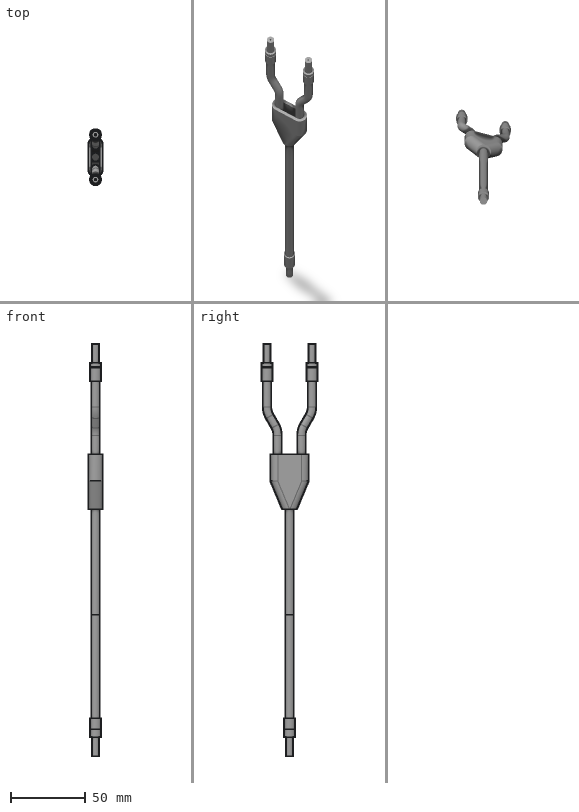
import cadquery as cq
import math

LOWER_COLLAR_BOTTOM = 13.0
LOWER_COLLAR_SPLIT = 18.5
LOWER_COLLAR_TOP = 26.0
CABLE_JOINT = 95.5
SPLITTER_BOTTOM = 166.9
TAPER_TOP = 186.0
SPLITTER_TOP = 204.2
BEND_BOTTOM = 217.0
UPPER_COLLAR_BOTTOM = 253.2
GROOVE_BOTTOM = 262.5
UPPER_COLLAR_TOP = 265.7
OVERALL_HEIGHT = 278.5

CABLE_DIAMETER = 5.8
COLLAR_DIAMETER = 7.5
PIN_DIAMETER = 5.0
PIN_BORE_DIAMETER = 1.0
PIN_BORE_DEPTH = 5.5
GROOVE_WIDTH = 0.8
GROOVE_DEPTH = 0.3

SPLITTER_THICKNESS = 10.0
SPLITTER_FLAT = 16.2
TAPER_END_FLAT = 0.05
CAVITY_FLOOR = 172.5

OVERALL_WIDTH = 38.0
BRANCH_Y = SPLITTER_FLAT / 2
TIP_Y = (OVERALL_WIDTH - COLLAR_DIAMETER) / 2
BEND_RADIUS = 12.5
BEND_ANGLE = math.radians(30)


def cylinder(diameter, bottom, top):
    """Upright cylinder on the Z axis between two heights."""
    return cq.Workplane("XY").workplane(offset=bottom).circle(diameter / 2).extrude(top - bottom)


def stadium(plane, flat, thickness):
    """Stadium outline, long along Y, with full half-round ends."""
    half_flat = flat / 2
    radius = thickness / 2
    return (
        plane.moveTo(radius, -half_flat)
        .lineTo(radius, half_flat)
        .threePointArc((0, half_flat + radius), (-radius, half_flat))
        .lineTo(-radius, -half_flat)
        .threePointArc((0, -half_flat - radius), (radius, -half_flat))
        .close()
    )


def make_splitter_block():
    """Solid splitter: a straight stadium on a taper that narrows to a near-circle."""
    straight = stadium(cq.Workplane("XY").workplane(offset=TAPER_TOP), SPLITTER_FLAT, SPLITTER_THICKNESS)
    straight = straight.extrude(SPLITTER_TOP - TAPER_TOP)
    taper = stadium(cq.Workplane("XY").workplane(offset=SPLITTER_BOTTOM), TAPER_END_FLAT, SPLITTER_THICKNESS)
    taper = taper.workplane(offset=TAPER_TOP - SPLITTER_BOTTOM)
    taper = stadium(taper, SPLITTER_FLAT, SPLITTER_THICKNESS).loft(ruled=True)
    return straight.union(taper)


def make_splitter():
    """Open-topped splitter: a wedge-shaped cavity between the bores for the three cables."""
    floor_half_width = CABLE_DIAMETER / 2
    wedge = (
        cq.Workplane("YZ")
        .moveTo(-floor_half_width, CAVITY_FLOOR)
        .lineTo(floor_half_width, CAVITY_FLOOR)
        .lineTo(BRANCH_Y, SPLITTER_TOP)
        .lineTo(-BRANCH_Y, SPLITTER_TOP)
        .close()
        .extrude(CABLE_DIAMETER / 2, both=True)
    )
    splitter = make_splitter_block().cut(wedge)
    splitter = splitter.cut(cylinder(CABLE_DIAMETER, SPLITTER_BOTTOM, CAVITY_FLOOR))
    branch_bore = cylinder(CABLE_DIAMETER, TAPER_TOP, SPLITTER_TOP)
    for side in (1, -1):
        splitter = splitter.cut(branch_bore.translate((0, side * BRANCH_Y, 0)))
    return splitter


def make_branch_cable(side):
    """Cable swept from inside the splitter to an upper connector; side is +1 or -1 in Y."""
    arc_rise = BEND_RADIUS * math.sin(BEND_ANGLE)
    arc_shift = BEND_RADIUS * (1 - math.cos(BEND_ANGLE))
    mid_rise = BEND_RADIUS * math.sin(BEND_ANGLE / 2)
    mid_shift = BEND_RADIUS * (1 - math.cos(BEND_ANGLE / 2))
    slant_shift = TIP_Y - BRANCH_Y - 2 * arc_shift
    bend_top = BEND_BOTTOM + 2 * arc_rise + slant_shift / math.tan(BEND_ANGLE)

    path = (
        cq.Workplane("YZ")
        .moveTo(side * BRANCH_Y, TAPER_TOP)
        .lineTo(side * BRANCH_Y, BEND_BOTTOM)
        .threePointArc(
            (side * (BRANCH_Y + mid_shift), BEND_BOTTOM + mid_rise),
            (side * (BRANCH_Y + arc_shift), BEND_BOTTOM + arc_rise),
        )
        .lineTo(side * (TIP_Y - arc_shift), bend_top - arc_rise)
        .threePointArc(
            (side * (TIP_Y - mid_shift), bend_top - mid_rise),
            (side * TIP_Y, bend_top),
        )
        .lineTo(side * TIP_Y, UPPER_COLLAR_BOTTOM)
    )
    section = cq.Workplane("XY", origin=(0, side * BRANCH_Y, TAPER_TOP)).circle(CABLE_DIAMETER / 2)
    return section.sweep(path)


def make_upper_connector(side):
    """Grooved collar carrying a contact pin with a bored tip."""
    collar = cylinder(COLLAR_DIAMETER, UPPER_COLLAR_BOTTOM, UPPER_COLLAR_TOP)
    groove_top = GROOVE_BOTTOM + GROOVE_WIDTH
    groove = cylinder(COLLAR_DIAMETER, GROOVE_BOTTOM, groove_top)
    groove = groove.cut(cylinder(COLLAR_DIAMETER - 2 * GROOVE_DEPTH, GROOVE_BOTTOM, groove_top))
    pin = cylinder(PIN_DIAMETER, UPPER_COLLAR_TOP, OVERALL_HEIGHT)
    bore = cylinder(PIN_BORE_DIAMETER, OVERALL_HEIGHT - PIN_BORE_DEPTH, OVERALL_HEIGHT)
    return collar.cut(groove).union(pin).cut(bore).translate((0, side * TIP_Y, 0))


def make_lower_plug():
    """Front half of the lower collar in one piece with its contact pin."""
    pin = cylinder(PIN_DIAMETER, 0, LOWER_COLLAR_BOTTOM)
    return pin.union(cylinder(COLLAR_DIAMETER, LOWER_COLLAR_BOTTOM, LOWER_COLLAR_SPLIT))


splitter = make_splitter()
lower_plug = make_lower_plug()
lower_sleeve = cylinder(COLLAR_DIAMETER, LOWER_COLLAR_SPLIT, LOWER_COLLAR_TOP)
lower_cable = cylinder(CABLE_DIAMETER, LOWER_COLLAR_TOP, CABLE_JOINT)
upper_cable = cylinder(CABLE_DIAMETER, CABLE_JOINT, CAVITY_FLOOR)

bodies = [splitter.val(), lower_plug.val(), lower_sleeve.val(), lower_cable.val(), upper_cable.val()]
for side in (1, -1):
    bodies.append(make_branch_cable(side).val())
    bodies.append(make_upper_connector(side).val())

result = cq.Compound.makeCompound(bodies)